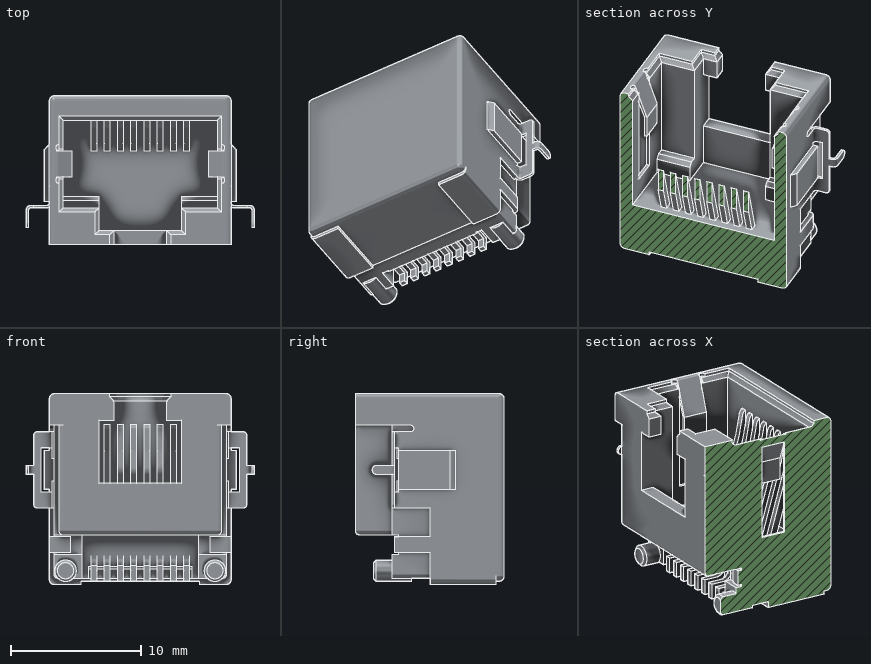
import cadquery as cq


SHIELD_HALF_WIDTH = 7.0
DEPTH = 11.45
HEIGHT = 14.7
SHIELD_RADIUS = 0.42
SHEET = 0.2
HOOD_BOTTOM = 12.26
SKIRT_FRONT = 5.76
UNDERSIDE_RISE = 0.25
FLANGE_INNER = 4.54
FLANGE_BACK = 10.83

HOUSING_HALF_WIDTH = 6.62
HOUSING_BOTTOM = 0.49
HOUSING_CORNER_RADIUS = 0.3
NOSE_HALF_WIDTH = 6.25
NOSE_BOTTOM = 3.82
NOSE_RADIUS = 0.33
SHOULDER = 2.82
RECESS_HALF_WIDTH = 4.48
RECESS_FACE = 4.45
TAB_GROOVE_FACE = 3.32
TAB_GROOVE_BOTTOM = 2.33

CAVITY_HALF_WIDTH = 5.92
CAVITY_BACK = 9.55
CAVITY_FRONT = 2.83
CAVITY_FLOOR = 4.35
CHANNEL_HALF_WIDTH = 3.17
CHANNEL_FRONT = 1.08
NECK_HALF_WIDTH = 2.03
MOUTH_CHAMFER = 0.32
MOUTH_STRAIGHT = 0.25
WINDOW_BOTTOM = 7.8
WINDOW_TOP = 12.63
LEDGE_BACK = 3.7
LEDGE_TOP = 5.9
LEDGE_CHAMFER = 0.31

CONTACT_COUNT = 8
CONTACT_PITCH = 1.02
CONTACT_WIDTH = 0.46
CONTACT_TOP = 12.3
CONTACT_TIP_Y = 9.27
CONTACT_TIP_Z = 11.86
CONTACT_TIP_BULGE = 0.05
CONTACT_KNEE_Y = 8.97
CONTACT_KNEE_Z = 10.27
CONTACT_FOOT_Y = 7.2
LEAD_FRONT = 2.68
LEAD_THICKNESS = 0.4
LEAD_ARM_TOP = 1.48
LEAD_BEND_RADIUS = 0.72
LEAD_ROOT_DEPTH = 0.3
LEAD_BAR_HALF_WIDTH = 3.99
LEAD_BAR_TOP = 1.41
LEAD_BAR_DEPTH = 0.1
LEAD_BAR_BEVEL = 0.19

PEG_X = 5.74
PEG_Z = 1.075
PEG_RADIUS = 0.825
PEG_FRONT = 1.4
PEG_BACK = 4.33
PEG_CHAMFER = 0.2

EAR_BOTTOM = 5.89
EAR_TOP = 11.76
EAR_TIP = 8.19
EAR_CORNER_RADIUS = 0.25
EAR_INNER_RADIUS = 0.18
EAR_SLOT_TIP = 7.62
EAR_SLOT_HALF_HEIGHT = 1.69
EAR_NOTCH_HALF_HEIGHT = 0.86
EAR_SLOT_FACE = 3.31
RELIEF_BACK = 4.5
TAIL_TIP = 8.775
TAIL_FRONT = 1.3
TAIL_WIDTH = 0.7
TAIL_BEND_RADIUS = 0.38

BUMP_REACH = 7.38
BUMP_BACK = 7.71
BUMP_RAMP = 0.42
BUMP_HALF_HEIGHT = 1.5
TAB_BOTTOM = 2.46
TAB_TOP = 3.7
TAB_INNER = 5.37
TAB_FRONT = 3.0
TAB_RADIUS = 0.37

FINGER_FRONT = 5.2
FINGER_BACK = 7.2
FINGER_ROOT = 6.43
FINGER_KNEE_X = 5.25
FINGER_KNEE_Z = 11.97
FINGER_END_Z = 10.2
FINGER_SHOULDER_X = 6.17
FINGER_SHOULDER_DROP = 0.18
FINGER_RELIEF_RADIUS = 0.25
FINGER_CLEARANCE = 0.16
FINGER_ROOT_OVERLAP = 0.1
FINGER_RECESS_DEPTH = 0.23
FINGER_RECESS_BOTTOM = 6.0

EAR_MID_Z = (EAR_BOTTOM + EAR_TOP) / 2


def block(x0, x1, y0, y1, z0, z1):
    return cq.Workplane("XY").box(x1 - x0, y1 - y0, z1 - z0, centered=False).translate((x0, y0, z0))


def wide_block(half_width, y0, y1, z0, z1):
    return block(-half_width, half_width, y0, y1, z0, z1)


def side_profile(x0):
    """Sketch plane whose local axes are Y and Z; extrusion runs along +X from x0."""
    return cq.Workplane("YZ", origin=(x0, 0, 0))


def plan(z0):
    return cq.Workplane("XY", origin=(0, 0, z0))


def both_sides(right_side):
    return right_side.union(right_side.mirror("YZ"))


def make_shield():
    sleeve = wide_block(SHIELD_HALF_WIDTH, 0, FLANGE_BACK, 0, HEIGHT).edges("|Y").fillet(SHIELD_RADIUS)
    back = wide_block(SHIELD_HALF_WIDTH, SKIRT_FRONT, DEPTH, UNDERSIDE_RISE, HEIGHT)
    back = back.edges("|Y or >Y").fillet(SHIELD_RADIUS)
    shell = sleeve.union(back)
    outline = (
        side_profile(-SHIELD_HALF_WIDTH)
        .moveTo(0, HEIGHT)
        .lineTo(0, HOOD_BOTTOM)
        .lineTo(SHOULDER + SHEET + EAR_INNER_RADIUS, HOOD_BOTTOM)
        .lineTo(SHOULDER + SHEET + EAR_INNER_RADIUS, EAR_BOTTOM)
        .lineTo(SKIRT_FRONT, EAR_BOTTOM)
        .lineTo(SKIRT_FRONT, 0)
        .lineTo(DEPTH, 0)
        .lineTo(DEPTH, HEIGHT)
        .close()
        .extrude(2 * SHIELD_HALF_WIDTH)
    )
    return shell.intersect(outline).cut(wide_block(FLANGE_INNER, 0, DEPTH, 0, UNDERSIDE_RISE))


def make_housing():
    body = wide_block(HOUSING_HALF_WIDTH, SHOULDER, SKIRT_FRONT, HOUSING_BOTTOM, HOOD_BOTTOM)
    body = body.edges("|Y and <Z").fillet(HOUSING_CORNER_RADIUS)
    body = body.cut(wide_block(RECESS_HALF_WIDTH, 0, RECESS_FACE, HOUSING_BOTTOM, NOSE_BOTTOM))
    body = body.cut(wide_block(SHIELD_HALF_WIDTH, 0, TAB_GROOVE_FACE, TAB_GROOVE_BOTTOM, NOSE_BOTTOM))
    nose = wide_block(NOSE_HALF_WIDTH, 0, SHOULDER, NOSE_BOTTOM, HOOD_BOTTOM)
    nose = nose.edges("(|Z and <Y) or (|Y and <Z) or (|X and <Y and <Z)").fillet(NOSE_RADIUS)
    return body.union(nose)


def cavity_outline(workplane, margin):
    """Stepped cavity outline grown outwards by margin and open through the front."""
    right = [
        (NECK_HALF_WIDTH + margin, -MOUTH_CHAMFER),
        (NECK_HALF_WIDTH + margin, CHANNEL_FRONT - margin),
        (CHANNEL_HALF_WIDTH + margin, CHANNEL_FRONT - margin),
        (CHANNEL_HALF_WIDTH + margin, CAVITY_FRONT - margin),
        (CAVITY_HALF_WIDTH + margin, CAVITY_FRONT - margin),
        (CAVITY_HALF_WIDTH + margin, CAVITY_BACK + margin),
    ]
    left = [(-x, y) for x, y in reversed(right)]
    return workplane.polyline(right + left).close()


def make_cavity():
    chamfer_bottom = HEIGHT - MOUTH_STRAIGHT - MOUTH_CHAMFER
    neck = wide_block(NECK_HALF_WIDTH, -MOUTH_CHAMFER, CHANNEL_FRONT, WINDOW_TOP, HEIGHT)
    channel = wide_block(CHANNEL_HALF_WIDTH, CHANNEL_FRONT, CAVITY_FRONT, CAVITY_FLOOR, HEIGHT)
    pocket = wide_block(CAVITY_HALF_WIDTH, CAVITY_FRONT, CAVITY_BACK, CAVITY_FLOOR, HEIGHT)
    window = wide_block(CHANNEL_HALF_WIDTH, 0, CHANNEL_FRONT, WINDOW_BOTTOM, WINDOW_TOP)
    mouth = cavity_outline(plan(HEIGHT - MOUTH_STRAIGHT), MOUTH_CHAMFER).extrude(MOUTH_STRAIGHT)
    wide_wire = cavity_outline(plan(HEIGHT - MOUTH_STRAIGHT), MOUTH_CHAMFER).val()
    narrow_wire = cavity_outline(plan(chamfer_bottom), 0).val()
    flare = cq.Workplane(cq.Solid.makeLoft([narrow_wire, wide_wire], True))
    return neck.union(channel).union(pocket).union(window).union(mouth).union(flare)


def make_ledge():
    """Step on the cavity floor beside the latch channel, bevelled along its back edge."""
    return (
        side_profile(CHANNEL_HALF_WIDTH)
        .moveTo(CAVITY_FRONT, CAVITY_FLOOR)
        .lineTo(LEDGE_BACK, CAVITY_FLOOR)
        .lineTo(LEDGE_BACK, LEDGE_TOP - LEDGE_CHAMFER)
        .lineTo(LEDGE_BACK - LEDGE_CHAMFER, LEDGE_TOP)
        .lineTo(CAVITY_FRONT, LEDGE_TOP)
        .close()
        .extrude(CAVITY_HALF_WIDTH - CHANNEL_HALF_WIDTH)
    )


def make_finger_opening():
    """Wall recess behind a spring finger, with a round relief at each end of the fold."""
    recess = block(
        CAVITY_HALF_WIDTH, CAVITY_HALF_WIDTH + FINGER_RECESS_DEPTH,
        FINGER_FRONT, FINGER_BACK, FINGER_RECESS_BOTTOM, HEIGHT - FINGER_SHOULDER_DROP,
    )
    fold = block(
        CAVITY_HALF_WIDTH, FINGER_ROOT,
        FINGER_FRONT, FINGER_BACK, HEIGHT - FINGER_SHOULDER_DROP, HEIGHT,
    )
    relief_x = CAVITY_HALF_WIDTH + MOUTH_CHAMFER
    chamfer_gap = block(
        CAVITY_HALF_WIDTH, relief_x,
        FINGER_FRONT - FINGER_CLEARANCE, FINGER_BACK + FINGER_CLEARANCE,
        HEIGHT - MOUTH_STRAIGHT - MOUTH_CHAMFER, HEIGHT - MOUTH_STRAIGHT,
    )
    relief_ys = (FINGER_FRONT - FINGER_RELIEF_RADIUS, FINGER_BACK + FINGER_RELIEF_RADIUS)
    reliefs = (
        plan(HEIGHT - MOUTH_STRAIGHT)
        .pushPoints([(relief_x, y) for y in relief_ys])
        .circle(FINGER_RELIEF_RADIUS)
        .extrude(MOUTH_STRAIGHT)
    )
    return recess.union(fold).union(chamfer_gap).union(reliefs)


def make_finger():
    """Sheet strip that folds over the shield edge and leans inwards before hanging straight down."""
    shoulder_z = HEIGHT - FINGER_SHOULDER_DROP
    buried_x = FINGER_ROOT + FINGER_ROOT_OVERLAP
    return (
        cq.Workplane("XZ", origin=(0, FINGER_BACK, 0))
        .moveTo(buried_x, HEIGHT)
        .lineTo(FINGER_ROOT, HEIGHT)
        .tangentArcPoint((FINGER_SHOULDER_X, shoulder_z), relative=False)
        .lineTo(FINGER_KNEE_X, FINGER_KNEE_Z)
        .lineTo(FINGER_KNEE_X, FINGER_END_Z)
        .lineTo(FINGER_KNEE_X + SHEET, FINGER_END_Z)
        .lineTo(FINGER_KNEE_X + SHEET, FINGER_KNEE_Z)
        .lineTo(FINGER_SHOULDER_X + SHEET, shoulder_z - SHEET)
        .lineTo(buried_x, shoulder_z - SHEET)
        .close()
        .extrude(FINGER_BACK - FINGER_FRONT)
    )


CONTACT_XS = [(i - (CONTACT_COUNT - 1) / 2) * CONTACT_PITCH for i in range(CONTACT_COUNT)]


def make_contact(x):
    """Bent strip that leans forward from the back wall of the cavity down to its floor."""
    tip_middle_y = (CAVITY_BACK + CONTACT_TIP_Y) / 2
    tip_middle_z = (CONTACT_TOP + CONTACT_TIP_Z) / 2
    thickness = CAVITY_BACK - CONTACT_KNEE_Y
    return (
        side_profile(x - CONTACT_WIDTH / 2)
        .moveTo(CAVITY_BACK, CONTACT_KNEE_Z)
        .lineTo(CAVITY_BACK, CONTACT_TOP)
        .threePointArc(
            (tip_middle_y - CONTACT_TIP_BULGE, tip_middle_z + CONTACT_TIP_BULGE),
            (CONTACT_TIP_Y, CONTACT_TIP_Z),
        )
        .lineTo(CONTACT_KNEE_Y, CONTACT_KNEE_Z)
        .lineTo(CONTACT_FOOT_Y, CAVITY_FLOOR)
        .lineTo(CONTACT_FOOT_Y + thickness, CAVITY_FLOOR)
        .close()
        .extrude(CONTACT_WIDTH)
    )


def make_lead(x):
    arm_bottom = LEAD_ARM_TOP - LEAD_THICKNESS
    return (
        side_profile(x - CONTACT_WIDTH / 2)
        .moveTo(LEAD_FRONT, UNDERSIDE_RISE)
        .lineTo(LEAD_FRONT, LEAD_ARM_TOP)
        .lineTo(RECESS_FACE - LEAD_BEND_RADIUS, LEAD_ARM_TOP)
        .radiusArc((RECESS_FACE, LEAD_ARM_TOP + LEAD_BEND_RADIUS), -LEAD_BEND_RADIUS)
        .lineTo(RECESS_FACE + LEAD_ROOT_DEPTH, LEAD_ARM_TOP + LEAD_BEND_RADIUS)
        .lineTo(RECESS_FACE + LEAD_ROOT_DEPTH, arm_bottom)
        .lineTo(LEAD_FRONT + LEAD_THICKNESS, arm_bottom)
        .lineTo(LEAD_FRONT + LEAD_THICKNESS, UNDERSIDE_RISE)
        .close()
        .extrude(CONTACT_WIDTH)
    )


def make_lead_bar():
    """Low bar across the recess behind the leads, bevelled along its top."""
    front = RECESS_FACE - LEAD_BAR_DEPTH
    return (
        side_profile(-LEAD_BAR_HALF_WIDTH)
        .moveTo(front, HOUSING_BOTTOM)
        .lineTo(front, LEAD_BAR_TOP - LEAD_BAR_BEVEL)
        .lineTo(RECESS_FACE, LEAD_BAR_TOP)
        .lineTo(RECESS_FACE, HOUSING_BOTTOM)
        .close()
        .extrude(2 * LEAD_BAR_HALF_WIDTH)
    )


def make_peg():
    peg = (
        cq.Workplane("XZ", origin=(PEG_X, PEG_BACK, PEG_Z))
        .circle(PEG_RADIUS)
        .extrude(PEG_BACK - PEG_FRONT)
    )
    return peg.faces("<Y").chamfer(PEG_CHAMFER)


def make_ear():
    """Side sheet flared outwards into a flat ear facing the front."""
    ear_back = SHOULDER + SHEET
    outer_radius = EAR_INNER_RADIUS + SHEET
    flare_x = SHIELD_HALF_WIDTH + EAR_INNER_RADIUS
    ear = (
        plan(EAR_BOTTOM)
        .moveTo(HOUSING_HALF_WIDTH, ear_back + EAR_INNER_RADIUS)
        .lineTo(SHIELD_HALF_WIDTH - SHEET, ear_back + EAR_INNER_RADIUS)
        .radiusArc((flare_x, SHOULDER), -outer_radius)
        .lineTo(EAR_TIP, SHOULDER)
        .lineTo(EAR_TIP, ear_back)
        .lineTo(flare_x, ear_back)
        .radiusArc((SHIELD_HALF_WIDTH, ear_back + EAR_INNER_RADIUS), EAR_INNER_RADIUS)
        .lineTo(SHIELD_HALF_WIDTH, EAR_SLOT_FACE)
        .lineTo(HOUSING_HALF_WIDTH, EAR_SLOT_FACE)
        .close()
        .extrude(EAR_TOP - EAR_BOTTOM)
    )
    return ear.edges("|Y and >X").fillet(EAR_CORNER_RADIUS)


def make_ear_slot():
    """Slot through the ear, deepened at mid height down to the housing wall."""
    slot = block(
        SHIELD_HALF_WIDTH - SHEET, EAR_SLOT_TIP, SHOULDER, EAR_SLOT_FACE,
        EAR_MID_Z - EAR_SLOT_HALF_HEIGHT, EAR_MID_Z + EAR_SLOT_HALF_HEIGHT,
    )
    notch = block(
        HOUSING_HALF_WIDTH, EAR_SLOT_TIP, SHOULDER, EAR_SLOT_FACE,
        EAR_MID_Z - EAR_NOTCH_HALF_HEIGHT, EAR_MID_Z + EAR_NOTCH_HALF_HEIGHT,
    )
    return slot.union(notch)


def make_relief_notch():
    """Round-ended cut that frees the ear from the hood above it."""
    end_radius = (HOOD_BOTTOM - EAR_TOP) / 2
    end_centre_y = RELIEF_BACK - end_radius
    return (
        side_profile(HOUSING_HALF_WIDTH)
        .moveTo(SHOULDER, EAR_TOP)
        .lineTo(end_centre_y, EAR_TOP)
        .threePointArc((RELIEF_BACK, EAR_TOP + end_radius), (end_centre_y, HOOD_BOTTOM))
        .lineTo(SHOULDER, HOOD_BOTTOM)
        .close()
        .extrude(SHIELD_HALF_WIDTH - HOUSING_HALF_WIDTH)
    )


def make_tail():
    """Solder tail that leaves the ear tip and turns towards the front."""
    tail_back = SHOULDER + SHEET
    tail = (
        plan(EAR_MID_Z - TAIL_WIDTH / 2)
        .moveTo(EAR_TIP, tail_back)
        .lineTo(TAIL_TIP - TAIL_BEND_RADIUS, tail_back)
        .radiusArc((TAIL_TIP, tail_back - TAIL_BEND_RADIUS), TAIL_BEND_RADIUS)
        .lineTo(TAIL_TIP, TAIL_FRONT)
        .lineTo(TAIL_TIP - SHEET, TAIL_FRONT)
        .lineTo(TAIL_TIP - SHEET, tail_back - TAIL_BEND_RADIUS)
        .radiusArc((TAIL_TIP - TAIL_BEND_RADIUS, SHOULDER), SHEET - TAIL_BEND_RADIUS)
        .lineTo(EAR_TIP, SHOULDER)
        .close()
        .extrude(TAIL_WIDTH)
    )
    end_radius = TAIL_WIDTH / 2
    rounding = (
        side_profile(EAR_TIP)
        .moveTo(SHOULDER + SHEET, EAR_MID_Z - end_radius)
        .lineTo(TAIL_FRONT + end_radius, EAR_MID_Z - end_radius)
        .threePointArc((TAIL_FRONT, EAR_MID_Z), (TAIL_FRONT + end_radius, EAR_MID_Z + end_radius))
        .lineTo(SHOULDER + SHEET, EAR_MID_Z + end_radius)
        .close()
        .extrude(TAIL_TIP - EAR_TIP)
    )
    return tail.intersect(rounding)


def make_bump():
    return (
        plan(EAR_MID_Z - BUMP_HALF_HEIGHT)
        .moveTo(HOUSING_HALF_WIDTH, BUMP_BACK)
        .lineTo(SHIELD_HALF_WIDTH, BUMP_BACK)
        .lineTo(BUMP_REACH, BUMP_BACK - BUMP_RAMP)
        .lineTo(BUMP_REACH, EAR_SLOT_FACE)
        .lineTo(HOUSING_HALF_WIDTH, EAR_SLOT_FACE)
        .close()
        .extrude(2 * BUMP_HALF_HEIGHT)
    )


def make_tab():
    """Shield tab that wraps around the housing corner into the front groove."""
    wrap = block(HOUSING_HALF_WIDTH, SHIELD_HALF_WIDTH, TAB_FRONT, SKIRT_FRONT, TAB_BOTTOM, TAB_TOP)
    end = block(TAB_INNER, SHIELD_HALF_WIDTH, TAB_FRONT, TAB_GROOVE_FACE, TAB_BOTTOM, TAB_TOP)
    return wrap.union(end).edges("|Z and <Y and >X").fillet(TAB_RADIUS)


result = make_shield().union(make_housing())
result = result.cut(both_sides(make_relief_notch()))
result = result.union(both_sides(make_bump())).union(both_sides(make_ear()))
result = result.cut(both_sides(make_ear_slot()))
result = result.union(both_sides(make_tail())).union(both_sides(make_tab()))
result = result.cut(make_cavity()).union(both_sides(make_ledge()))
result = result.cut(both_sides(make_finger_opening())).union(both_sides(make_finger()))
result = result.union(both_sides(make_peg())).union(make_lead_bar())
for contact_x in CONTACT_XS:
    result = result.union(make_contact(contact_x)).union(make_lead(contact_x))